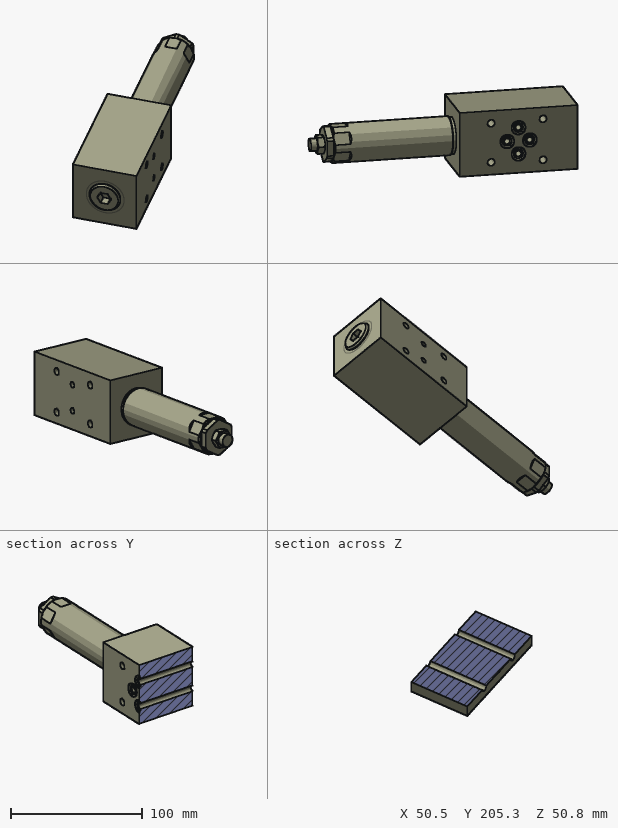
import cadquery as cq
import math

FULL_TURN = 360.0
HEX_SIDES = 6

PORT_FACE_OFFSET = 25.54
FAR_FACE_OFFSET = 25.0
BLOCK_WIDTH = PORT_FACE_OFFSET + FAR_FACE_OFFSET
BLOCK_LENGTH = 92.0
BLOCK_HEIGHT = 50.8
BLOCK_FRONT = -BLOCK_LENGTH / 2
BLOCK_BACK = BLOCK_LENGTH / 2
PORT_FACE = -PORT_FACE_OFFSET

PLUG_SEAT_RADIUS = 15.0
PLUG_SEAT_DEPTH = 5.0
PLUG_HEAD_RADIUS = 12.3
PLUG_HEAD_HEIGHT = 2.2
PLUG_HEAD_CHAMFER = 1.2
PLUG_HEAD_RIM = 0.5
PLUG_SOCKET_FLATS = 9.525
PLUG_SOCKET_DEPTH = 7.0

NECK_RADIUS = 14.25
NECK_LENGTH = 2.3
SLEEVE_RADIUS = 15.0
SLEEVE_LENGTH = 93.0
SLEEVE_BACK_CHAMFER = 1.0
SLEEVE_FRONT_CHAMFER = 0.6
SLEEVE_BACK = BLOCK_BACK + NECK_LENGTH + SLEEVE_LENGTH
WRENCH_FLAT_COUNT = HEX_SIDES
WRENCH_FLATS = 28.5
WRENCH_FLAT_LENGTH = 12.6
WRENCH_RUNOUT = 1.2

CAP_FLATS = 25.4
CAP_CORNER_RADIUS = 14.0
CAP_LENGTH = 5.2
NUT_FLATS = 13.0
NUT_LENGTH = 5.6
NUT_CHAMFER_RADIUS = 6.5
NUT_CHAMFER_ANGLE = 30.0
SCREW_RADIUS = 4.9
OVERALL_LENGTH = 205.27
CAP_BACK = SLEEVE_BACK + CAP_LENGTH
NUT_BACK = CAP_BACK + NUT_LENGTH
SCREW_BACK = BLOCK_FRONT - PLUG_HEAD_HEIGHT + OVERALL_LENGTH

MOUNTING_HOLE_DIAMETER = 5.5
MOUNTING_SPACING = 40.5
MOUNTING_BACK_Y = 21.5
MOUNTING_FRONT_Y = MOUNTING_BACK_Y - MOUNTING_SPACING
MOUNTING_BACK_PITCH = 31.0
MOUNTING_FRONT_PITCH = 32.5
PORT_DIAMETER = 4.5
THROUGH_PORT_Z = 10.4
BLIND_PORT_Y = 8.8
BLIND_PORT_DEPTH = PORT_FACE_OFFSET
SEAL_SECTION_RADIUS = 0.89
SEAL_RADIUS = 4.5
SEAL_POCKET_RADIUS = 5.35
SEAL_POCKET_DEPTH = 1.2


def along_y(start_y):
    """Workplane normal to +Y at start_y; local x is +X and local y is -Z."""
    return cq.Workplane("XZ", origin=(0, start_y, 0)).transformed(rotate=(180, 0, 0))


def round_bar(start_y, length, radius):
    return along_y(start_y).circle(radius).extrude(length)


def hex_corner_radius(across_flats):
    return across_flats / 2 / math.cos(math.pi / HEX_SIDES)


def hex_bar(start_y, length, across_flats, turn=0.0):
    """Hexagonal bar along +Y; with no turn two corners lie level with the axis, on -X and +X."""
    corner_diameter = 2 * hex_corner_radius(across_flats)
    bar = along_y(start_y).polygon(HEX_SIDES, corner_diameter).extrude(length)
    return bar.rotate((0, 0, 0), (0, 1, 0), turn)


def revolve_about_y(profile):
    """Solid of revolution from (radius, y) points."""
    return cq.Workplane("XY").polyline(profile).close().revolve(FULL_TURN, (0, 0, 0), (0, 1, 0))


def bore_from_port_face(y, z, diameter, depth):
    plane = cq.Workplane("YZ", origin=(PORT_FACE, y, z))
    return plane.circle(diameter / 2).extrude(depth)


def make_sleeve():
    """Chamfered round sleeve with wrench flats at its back end, on a narrower neck."""
    neck = round_bar(BLOCK_BACK, NECK_LENGTH, NECK_RADIUS)
    sleeve = round_bar(BLOCK_BACK + NECK_LENGTH, SLEEVE_LENGTH, SLEEVE_RADIUS)
    sleeve = sleeve.faces("<Y").chamfer(SLEEVE_FRONT_CHAMFER)
    sleeve = sleeve.faces(">Y").chamfer(SLEEVE_BACK_CHAMFER)
    sleeve = sleeve.cut(wrench_flat_cutters())
    return sleeve.union(neck)


def wrench_flat_cutters():
    """Flats around the sleeve end, each sloping up at its front end to the round surface."""
    flat_height = WRENCH_FLATS / 2
    flat_start = SLEEVE_BACK - WRENCH_FLAT_LENGTH
    slope_height = SLEEVE_RADIUS - flat_height
    outline = [
        (flat_start, flat_height),
        (flat_start - 2 * WRENCH_RUNOUT, flat_height + 2 * slope_height),
        (SLEEVE_BACK, flat_height + 2 * slope_height),
        (SLEEVE_BACK, flat_height),
    ]
    cutter = cq.Workplane("YZ").polyline(outline).close().extrude(SLEEVE_RADIUS, both=True)
    cutters = cq.Workplane()
    for index in range(WRENCH_FLAT_COUNT):
        angle = index * FULL_TURN / WRENCH_FLAT_COUNT
        cutters = cutters.add(cutter.rotate((0, 0, 0), (0, 1, 0), angle))
    return cutters.combine()


def make_cap():
    """Hexagon with flats facing +X and -X and its corners turned round."""
    hexagon = hex_bar(SLEEVE_BACK, CAP_LENGTH, CAP_FLATS, FULL_TURN / (2 * HEX_SIDES))
    return hexagon.intersect(round_bar(SLEEVE_BACK, CAP_LENGTH, CAP_CORNER_RADIUS))


def make_nut():
    """Hex nut with both ends bevelled by a cone."""
    corner_radius = hex_corner_radius(NUT_FLATS)
    bevel = (corner_radius - NUT_CHAMFER_RADIUS) * math.tan(math.radians(NUT_CHAMFER_ANGLE))
    profile = [
        (0, CAP_BACK),
        (NUT_CHAMFER_RADIUS, CAP_BACK),
        (corner_radius, CAP_BACK + bevel),
        (corner_radius, NUT_BACK - bevel),
        (NUT_CHAMFER_RADIUS, NUT_BACK),
        (0, NUT_BACK),
    ]
    envelope = revolve_about_y(profile)
    return hex_bar(CAP_BACK, NUT_LENGTH, NUT_FLATS).intersect(envelope)


def make_plug():
    """Plug flush with the front face, with a raised chamfered head and a hex socket."""
    head_front = BLOCK_FRONT - PLUG_HEAD_HEIGHT
    rim_front = BLOCK_FRONT - PLUG_HEAD_RIM
    profile = [
        (0, BLOCK_FRONT),
        (PLUG_HEAD_RADIUS, BLOCK_FRONT),
        (PLUG_HEAD_RADIUS, rim_front),
        (PLUG_HEAD_RADIUS - PLUG_HEAD_CHAMFER, head_front),
        (0, head_front),
    ]
    head = revolve_about_y(profile)
    seat = round_bar(BLOCK_FRONT, PLUG_SEAT_DEPTH, PLUG_SEAT_RADIUS)
    socket = hex_bar(head_front, PLUG_SOCKET_DEPTH, PLUG_SOCKET_FLATS)
    return seat.union(head).cut(socket)


def cut_mounting_holes(block):
    rows = [(MOUNTING_BACK_Y, MOUNTING_BACK_PITCH), (MOUNTING_FRONT_Y, MOUNTING_FRONT_PITCH)]
    for y, pitch in rows:
        for z in (-pitch / 2, pitch / 2):
            block = block.cut(bore_from_port_face(y, z, MOUNTING_HOLE_DIAMETER, BLOCK_WIDTH))
    return block


def add_port(block, y, z, depth):
    """Port bore with a shallow pocket that holds a sealing ring level with the face."""
    block = block.cut(bore_from_port_face(y, z, PORT_DIAMETER, depth))
    block = block.cut(bore_from_port_face(y, z, 2 * SEAL_POCKET_RADIUS, SEAL_POCKET_DEPTH))
    seal_x = PORT_FACE + SEAL_SECTION_RADIUS
    seal = cq.Solid.makeTorus(
        SEAL_RADIUS, SEAL_SECTION_RADIUS, cq.Vector(seal_x, y, z), cq.Vector(1, 0, 0)
    )
    return block.union(cq.Workplane(seal))


def make_block():
    block = cq.Workplane("XY").box(BLOCK_WIDTH, BLOCK_LENGTH, BLOCK_HEIGHT)
    block = block.translate((PORT_FACE + BLOCK_WIDTH / 2, 0, 0))
    block = cut_mounting_holes(block)
    for side in (-1, 1):
        block = add_port(block, 0, side * THROUGH_PORT_Z, BLOCK_WIDTH)
        block = add_port(block, side * BLIND_PORT_Y, 0, BLIND_PORT_DEPTH)
    return block.cut(round_bar(BLOCK_FRONT, PLUG_SEAT_DEPTH, PLUG_SEAT_RADIUS))


screw = round_bar(NUT_BACK, SCREW_BACK - NUT_BACK, SCREW_RADIUS)
result = make_block().union(make_sleeve()).union(make_cap()).union(make_nut()).union(screw)
result = result.union(make_plug(), clean=False)